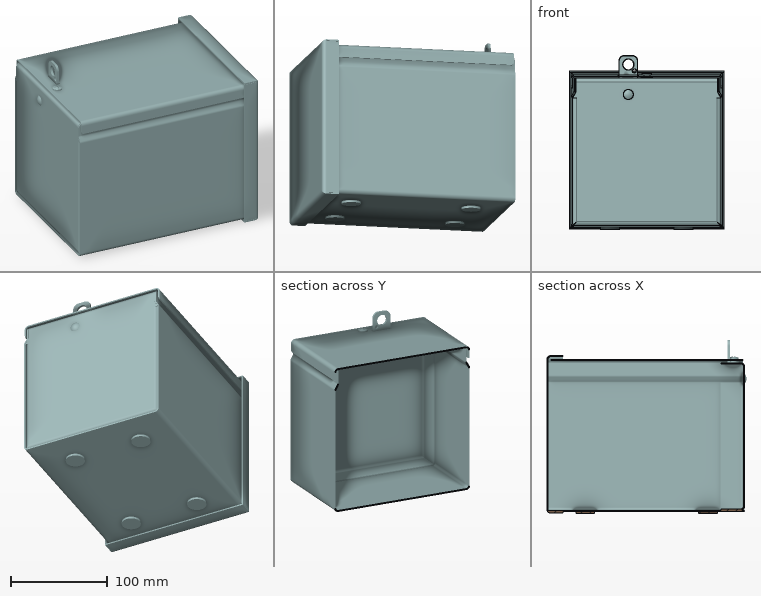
import cadquery as cq
import math

SHEET = 1.5
BEND = 4.1
INNER_BEND = BEND - SHEET

REAR_Y = 207.0
FRONT_Y = 2.0
COVER_SETBACK = 1.7
COVER_FRONT_Y = FRONT_Y + COVER_SETBACK
RIM_FRONT_Y = 189.8
CASE_END_Y = REAR_Y - SHEET
RIM_FOLD_Y = REAR_Y - BEND

FOOT_HEIGHT = 2.3
CASE_BOTTOM_Z = FOOT_HEIGHT
CASE_TOP_Z = 156.5
COVER_GAP = 1.9
COVER_TOP_Z = CASE_TOP_Z + COVER_GAP + SHEET
COVER_EDGE_Z = 146.3
RIM_CLEARANCE = 0.25
RIM_BOTTOM_Z = CASE_BOTTOM_Z - RIM_CLEARANCE - SHEET
RIM_TOP_Z = 163.9

RIM_WIDTH = 160.0
RIM_HALF = RIM_WIDTH / 2
CASE_HALF = RIM_HALF - SHEET - RIM_CLEARANCE
STEP_DEPTH = 3.3
NECK_HALF = CASE_HALF - STEP_DEPTH

STEP_ANGLE = 30.0
STEP_Z = 136.8
STEP_HEIGHT = STEP_DEPTH / math.tan(math.radians(STEP_ANGLE))
STEP_OUTER_RADIUS = 3.7
STEP_INNER_RADIUS = STEP_OUTER_RADIUS - SHEET

SIDE_FLANGE_TOP_Z = 135.8
FLANGE_DEPTH = 24.8
FLANGE_END_Y = FRONT_Y + FLANGE_DEPTH
PANEL_CLEARANCE = 0.2

CORNER_SLIT = 0.2

COVER_CORNER_RADIUS = 2.5

HASP_X = -19.0
HASP_FRONT_Y = 17.2
HASP_WIDTH = 19.5
HASP_THICKNESS = 2.5
HASP_TOP_Z = 179.8
HASP_CORNER_RADIUS = 5.8
SHACKLE_HOLE = 11.2
SHACKLE_Z = 170.5
SEAL_HOLE = 4.0
SEAL_X = -12.8
SEAL_Z = 163.9
SLOT_LENGTH = 21.5
SLOT_WIDTH = 4.1

SCREW_Y = 13.2
SCREW_HEAD = 10.0
SCREW_SHANK = 6.2
HEAD_SIDE_HEIGHT = 1.5
HEAD_HEIGHT = 2.7
RECESS_LENGTH = 6.6
RECESS_WIDTH = 1.0
RECESS_DEPTH = 1.2
BOSS = 11.5
BOSS_HEIGHT = 1.0

BUTTON = 10.3
BUTTON_Z = 139.5

FOOT = 19.9
FOOT_X = 38.0
FOOT_FRONT_Y = 40.1
FOOT_REAR_Y = 167.2


def block(x_range, y_range, z_range):
    """Box spanning the given (low, high) ranges."""
    spans = [high - low for low, high in (x_range, y_range, z_range)]
    corner = (x_range[0], y_range[0], z_range[0])
    return cq.Workplane("XY").box(*spans, centered=False).translate(corner)


def upright_cylinder(diameter, bottom_z, height, x, y):
    return cq.Workplane("XY", origin=(x, y, bottom_z)).circle(diameter / 2).extrude(height)


def dome(base_diameter, height):
    """Spherical cap standing on the XY plane."""
    base_radius = base_diameter / 2
    sphere_radius = (base_radius**2 + height**2) / (2 * height)
    cap = cq.Workplane("XY").sphere(sphere_radius).translate((0, 0, height - sphere_radius))
    return cap.intersect(block((-base_radius, base_radius), (-base_radius, base_radius), (0, height)))


def stepped_prism(inset, top_z):
    """Solid filling the stepped case outline, moved inwards by `inset`."""
    corner_shift = inset * math.tan(math.radians(STEP_ANGLE / 2))
    bottom_z = CASE_BOTTOM_Z + inset
    step_bottom_z = STEP_Z - corner_shift
    step_top_z = STEP_Z + STEP_HEIGHT - corner_shift
    right_side = [
        (CASE_HALF - inset, bottom_z),
        (CASE_HALF - inset, step_bottom_z),
        (NECK_HALF - inset, step_top_z),
        (NECK_HALF - inset, top_z),
    ]
    left_side = [(-x, z) for x, z in reversed(right_side)]
    prism = (
        cq.Workplane("XZ", origin=(0, FRONT_Y, 0))
        .polyline(right_side + left_side)
        .close()
        .extrude(FRONT_Y - CASE_END_Y)
    )
    roundings = [
        (bottom_z, BEND - inset),
        (step_bottom_z, STEP_OUTER_RADIUS - inset),
        (step_top_z, STEP_INNER_RADIUS + inset),
    ]
    for z, radius in roundings:
        near_z = cq.selectors.BoxSelector(
            (-RIM_HALF, 0, z - SHEET / 4), (RIM_HALF, REAR_Y, z + SHEET / 4)
        )
        prism = prism.edges("|Y").edges(near_z).fillet(radius)
    return prism


def make_case_wrap():
    """Bottom and stepped sides, folded from one sheet."""
    wrap = stepped_prism(0, CASE_TOP_Z).cut(stepped_prism(SHEET, COVER_TOP_Z))
    return wrap.faces(">Z").edges("<Y").fillet(BEND)


def make_front_panel():
    """Front sheet with flanges folded back along the bottom, the sides and the top."""
    half = CASE_HALF - SHEET
    bottom_z = CASE_BOTTOM_Z + SHEET
    depth = (FRONT_Y, FLANGE_END_Y)
    inner_depth = (FRONT_Y + SHEET, FLANGE_END_Y)

    lower = block((-half, half), depth, (bottom_z, SIDE_FLANGE_TOP_Z))
    lower = lower.faces("<Y").edges("<Z or <X or >X").fillet(BEND)
    inner_half = half - SHEET
    hollow = block((-inner_half, inner_half), inner_depth, (bottom_z + SHEET, SIDE_FLANGE_TOP_Z))
    hollow = hollow.faces("<Y").edges("<Z or <X or >X").fillet(INNER_BEND)
    lower = lower.cut(hollow)

    upper_z = (SIDE_FLANGE_TOP_Z, CASE_TOP_Z)
    upper = block((-half, half), depth, upper_z).faces("<Y").edges(">Z").fillet(BEND)
    recess_z = (SIDE_FLANGE_TOP_Z, CASE_TOP_Z - SHEET)
    recess = block((-half, half), inner_depth, recess_z).faces("<Y").edges(">Z").fillet(INNER_BEND)
    upper = upper.cut(recess).intersect(stepped_prism(SHEET + PANEL_CLEARANCE, COVER_TOP_Z))
    return lower.union(upper)


def make_rear_rim():
    """Rear plate with four flanges folded forwards around the case."""
    depth = (RIM_FRONT_Y, REAR_Y)
    rim = block((-RIM_HALF, RIM_HALF), depth, (RIM_BOTTOM_Z, RIM_TOP_Z))
    rim = rim.faces(">Y").edges().fillet(BEND)
    inner_z = (RIM_BOTTOM_Z + SHEET, RIM_TOP_Z - SHEET)
    inner_half = RIM_HALF - SHEET
    hollow = block((-inner_half, inner_half), (RIM_FRONT_Y, REAR_Y - SHEET), inner_z)
    hollow = hollow.faces(">Y").edges().fillet(INNER_BEND)
    rim = rim.cut(hollow)
    slit_depth = (RIM_FRONT_Y, RIM_FOLD_Y)
    for slit_z in (inner_z[0], inner_z[1] - CORNER_SLIT):
        slit = block((-RIM_HALF, RIM_HALF), slit_depth, (slit_z, slit_z + CORNER_SLIT))
        rim = rim.cut(slit)
    return rim


def make_case():
    """Welded case: wrap, front panel and rear rim, with a boss for the cover screw."""
    boss = upright_cylinder(BOSS, CASE_TOP_Z, BOSS_HEIGHT, 0, SCREW_Y)
    case = make_case_wrap().union(make_front_panel()).union(make_rear_rim()).union(boss)
    hole_bottom_z = CASE_TOP_Z - SHEET
    return case.cut(upright_cylinder(SCREW_SHANK, hole_bottom_z, SHEET + BOSS_HEIGHT, 0, SCREW_Y))


def make_cover():
    """Folded lid with a slot for the hasp and a hole for the screw."""
    outer = block((-CASE_HALF, CASE_HALF), (COVER_FRONT_Y, RIM_FOLD_Y), (COVER_EDGE_Z, COVER_TOP_Z))
    outer = outer.edges("|Y and >Z").fillet(BEND)
    outer = outer.edges("|X and <Y and <Z").fillet(COVER_CORNER_RADIUS)
    inner_half = CASE_HALF - SHEET
    under_z = COVER_TOP_Z - SHEET
    hollow = block((-inner_half, inner_half), (COVER_FRONT_Y, RIM_FOLD_Y), (COVER_EDGE_Z, under_z))
    hollow = hollow.edges("|Y and >Z").fillet(INNER_BEND)
    slot_y = HASP_FRONT_Y + HASP_THICKNESS / 2
    slot = (
        cq.Workplane("XY", origin=(HASP_X, slot_y, under_z))
        .rect(SLOT_LENGTH, SLOT_WIDTH)
        .extrude(SHEET)
    )
    screw_hole = upright_cylinder(SCREW_SHANK, under_z, SHEET, 0, SCREW_Y)
    return outer.cut(hollow).cut(slot).cut(screw_hole)


def make_hasp():
    """Upright lug on the case top, with a shackle hole and a small seal hole."""
    left_x = HASP_X - HASP_WIDTH / 2
    rear_y = HASP_FRONT_Y + HASP_THICKNESS
    hasp = block((left_x, left_x + HASP_WIDTH), (HASP_FRONT_Y, rear_y), (CASE_TOP_Z, HASP_TOP_Z))
    hasp = hasp.edges("|Y and >Z").fillet(HASP_CORNER_RADIUS)
    for diameter, x, z in ((SHACKLE_HOLE, HASP_X, SHACKLE_Z), (SEAL_HOLE, SEAL_X, SEAL_Z)):
        hole = cq.Workplane("XZ", origin=(x, rear_y, z)).circle(diameter / 2).extrude(HASP_THICKNESS)
        hasp = hasp.cut(hole)
    return hasp


def make_screw():
    """Domed cross-recess screw through the cover into the case top."""
    side = upright_cylinder(SCREW_HEAD, 0, HEAD_SIDE_HEIGHT, 0, 0)
    cap = dome(SCREW_HEAD, HEAD_HEIGHT - HEAD_SIDE_HEIGHT).translate((0, 0, HEAD_SIDE_HEIGHT))
    head = side.union(cap)
    recess_floor = cq.Workplane("XY", origin=(0, 0, HEAD_HEIGHT - RECESS_DEPTH))
    for length_x, length_y in ((RECESS_LENGTH, RECESS_WIDTH), (RECESS_WIDTH, RECESS_LENGTH)):
        head = head.cut(recess_floor.rect(length_x, length_y).extrude(RECESS_DEPTH))
    shank_length = COVER_TOP_Z - CASE_TOP_Z + SHEET
    shank = upright_cylinder(SCREW_SHANK, -shank_length, shank_length, 0, 0)
    return head.union(shank).translate((0, SCREW_Y, COVER_TOP_Z))


def make_button():
    """Domed button on the front panel."""
    cap = dome(BUTTON, FRONT_Y).rotate((0, 0, 0), (1, 0, 0), 90)
    return cap.translate((HASP_X, FRONT_Y, BUTTON_Z))


def make_foot(x, y):
    return upright_cylinder(FOOT, 0, FOOT_HEIGHT, x, y)


case = make_case()
cover = make_cover()
hasp = make_hasp()
screw = make_screw()
button = make_button()
feet = [make_foot(x, y) for x in (-FOOT_X, FOOT_X) for y in (FOOT_FRONT_Y, FOOT_REAR_Y)]

result = cq.Compound.makeCompound(
    [case.val(), cover.val(), hasp.val(), screw.val(), button.val()] + [foot.val() for foot in feet]
)